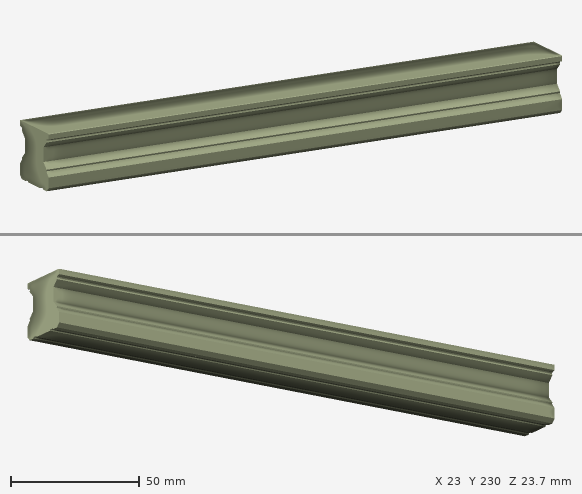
import cadquery as cq

length = 230.0
width = 23.0
height = 23.7

half_width = width / 2
web_half_width = 7.4
web_bottom = 11.3
web_top = 17.2

track_edge = 10.0
notch_root = 9.7
upper_track_edge_z = 19.8
upper_notch_z = 20.5
head_ledge_z = 21.0
head_underside = 21.5
top_chamfer = 0.2
lower_track_edge_z = 8.7
lower_notch_z = 8.0

foot_top = 6.0
foot_chamfer = 1.5

groove_inner = 4.8
groove_outer = 7.1
groove_depth = 0.5
groove_wall_run = 0.2

cap_count = 8
cap_diameter = 11.0
cap_thickness = 1.2
cap_end_distance = 10.0
cap_pitch = (length - 2 * cap_end_distance) / (cap_count - 1)


def make_rail():
    """Extrude the symmetric rail profile along Y."""
    right_side = [
        (groove_inner, 0),
        (groove_inner + groove_wall_run, groove_depth),
        (groove_outer - groove_wall_run, groove_depth),
        (groove_outer, 0),
        (half_width - foot_chamfer, 0),
        (half_width, foot_chamfer),
        (half_width, foot_top),
        (notch_root, lower_notch_z),
        (track_edge, lower_track_edge_z),
        (web_half_width, web_bottom),
        (web_half_width, web_top),
        (track_edge, upper_track_edge_z),
        (notch_root, upper_notch_z),
        (track_edge, head_ledge_z),
        (half_width, head_underside),
        (half_width, height - top_chamfer),
        (half_width - top_chamfer, height),
    ]
    left_side = [(-x, z) for x, z in reversed(right_side)]
    profile = cq.Workplane("XZ").polyline(right_side + left_side).close()
    return profile.extrude(length / 2, both=True)


def make_caps():
    """Row of round caps along the centre of the top face."""
    return (
        cq.Workplane("XY", origin=(0, 0, height - cap_thickness))
        .rarray(2.3, cap_pitch, 1, cap_count)
        .circle(cap_diameter / 2)
        .extrude(cap_thickness)
    )


caps = make_caps()

result = make_rail().cut(caps).union(caps, clean=False)